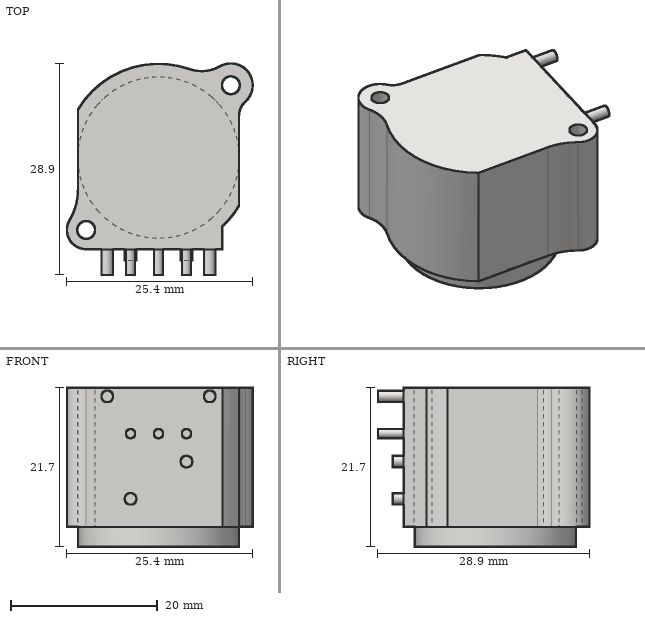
import cadquery as cq
import math

body_height = 19.0
half_width = 11.0
front_distance = 12.5
drum_radius = 12.8
front_corner_x = 8.7

base_radius = 11.0
base_height = 2.7

ear_offset = 9.86
rear_extent = 12.85
rear_ear_radius = rear_extent - ear_offset
front_ear_radius = front_distance - ear_offset
ear_hole_diameter = 2.4

rear_blend_radius = 5.0
right_blend_radius = 2.5
left_blend_radius = 8.0

pitch = 2.54
small_pin_diameter = 1.27
large_pin_diameter = 1.6
long_pin_length = 3.5
short_pin_length = 1.5
small_pin_spacing = 1.5 * pitch
mount_pin_x = 2.75 * pitch
mount_pin_depth = 1.2
mount_pin_z = body_height - mount_pin_depth
small_pin_z = mount_pin_z - 2 * pitch
upper_short_pin_z = small_pin_z - 1.5 * pitch
lower_short_pin_z = upper_short_pin_z - 2 * pitch


def toward(start, end, distance):
    """Point at the given distance from start on the line to end."""
    length = math.dist(start, end)
    return (
        start[0] + (end[0] - start[0]) * distance / length,
        start[1] + (end[1] - start[1]) * distance / length,
    )


def arc_middle(center, radius, first, last):
    """Middle point of the shorter arc from first to last about center."""
    chord_middle = ((first[0] + last[0]) / 2, (first[1] + last[1]) / 2)
    return toward(center, chord_middle, radius)


def on_drum(offset):
    """Other coordinate of a drum point, given one of its coordinates."""
    return math.sqrt(drum_radius**2 - offset**2)


def make_body():
    axis = (0, 0)
    rear_ear = (ear_offset, ear_offset)
    front_ear = (-ear_offset, -ear_offset)

    left_center_x = -half_width - left_blend_radius
    left_rise = math.sqrt(
        (left_blend_radius + front_ear_radius) ** 2 - (left_center_x + ear_offset) ** 2
    )
    left_center = (left_center_x, -ear_offset + left_rise)
    left_side_end = (-half_width, left_center[1])
    left_ear_end = toward(front_ear, left_center, front_ear_radius)

    right_center_x = half_width + right_blend_radius
    right_drop = math.sqrt(
        (right_blend_radius + rear_ear_radius) ** 2 - (right_center_x - ear_offset) ** 2
    )
    right_center = (right_center_x, ear_offset - right_drop)
    right_side_end = (half_width, right_center[1])
    right_ear_end = toward(rear_ear, right_center, rear_ear_radius)

    ear_distance = math.hypot(*rear_ear)
    to_drum = drum_radius + rear_blend_radius
    to_ear = rear_ear_radius + rear_blend_radius
    cosine = (to_drum**2 + ear_distance**2 - to_ear**2) / (2 * to_drum * ear_distance)
    rear_angle = math.atan2(rear_ear[1], rear_ear[0]) + math.acos(cosine)
    rear_center = (to_drum * math.cos(rear_angle), to_drum * math.sin(rear_angle))
    drum_end = toward(axis, rear_center, drum_radius)
    rear_ear_end = toward(rear_ear, rear_center, rear_ear_radius)
    rear_ear_tip = toward(rear_ear, axis, -rear_ear_radius)

    drum_start = (-half_width, on_drum(half_width))
    right_drum = (half_width, -on_drum(half_width))
    front_drum = (front_corner_x, -on_drum(front_corner_x))
    front_corner = (front_corner_x, -front_distance)
    front_ear_end = (-ear_offset, -front_distance)
    front_ear_middle = arc_middle(front_ear, front_ear_radius, front_ear_end, left_ear_end)

    outline = (
        cq.Workplane("XY")
        .moveTo(*left_side_end)
        .lineTo(*drum_start)
        .threePointArc(arc_middle(axis, drum_radius, drum_start, drum_end), drum_end)
        .threePointArc(
            arc_middle(rear_center, rear_blend_radius, drum_end, rear_ear_end), rear_ear_end
        )
        .threePointArc(rear_ear_tip, right_ear_end)
        .threePointArc(
            arc_middle(right_center, right_blend_radius, right_ear_end, right_side_end),
            right_side_end,
        )
        .lineTo(*right_drum)
        .threePointArc(arc_middle(axis, drum_radius, right_drum, front_drum), front_drum)
        .lineTo(*front_corner)
        .lineTo(*front_ear_end)
        .threePointArc(front_ear_middle, left_ear_end)
        .threePointArc(
            arc_middle(left_center, left_blend_radius, left_ear_end, left_side_end),
            left_side_end,
        )
        .close()
    )
    ear_holes = (
        cq.Workplane("XY")
        .pushPoints([rear_ear, front_ear])
        .circle(ear_hole_diameter / 2)
        .extrude(body_height)
    )
    return outline.extrude(body_height).cut(ear_holes)


def make_base():
    return cq.Workplane("XY").circle(base_radius).extrude(-base_height)


def make_pins(places, diameter, length):
    """Round pins standing out of the front face at the given (x, z) places."""
    return (
        cq.Workplane("XZ", origin=(0, -front_distance, 0))
        .pushPoints(places)
        .circle(diameter / 2)
        .extrude(length)
    )


mount_pins = make_pins(
    [(-mount_pin_x, mount_pin_z), (mount_pin_x, mount_pin_z)],
    large_pin_diameter,
    long_pin_length,
)
small_pins = make_pins(
    [(column * small_pin_spacing, small_pin_z) for column in (-1, 0, 1)],
    small_pin_diameter,
    long_pin_length,
)
short_pins = make_pins(
    [(small_pin_spacing, upper_short_pin_z), (-small_pin_spacing, lower_short_pin_z)],
    large_pin_diameter,
    short_pin_length,
)

result = make_body().union(make_base()).union(mount_pins).union(small_pins).union(short_pins)